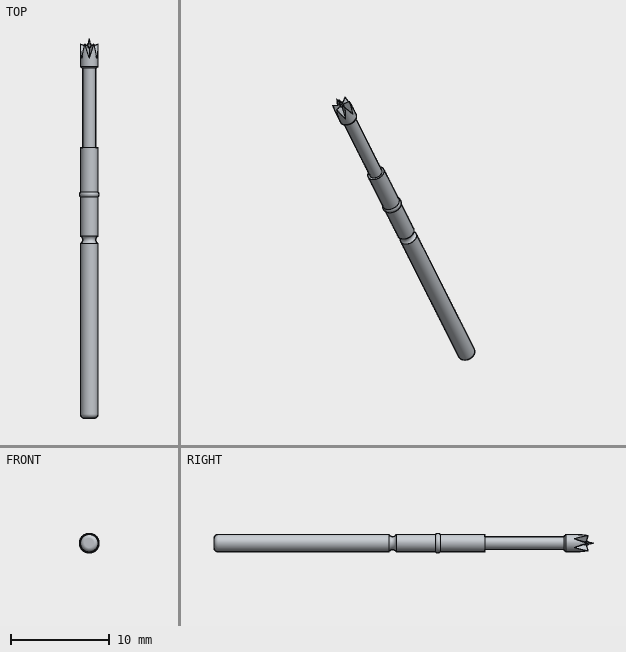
import cadquery as cq
import math


total_length = 38.4
rim_drop = 0.54
head_length = 2.26
barrel_front = 27.4
collar_front = 22.9
collar_width = 0.5
groove_rear = 17.7
groove_width = 0.74

barrel_radius = 0.89
collar_radius = 1.0
plunger_radius = 0.665
head_radius = 0.89

tail_flat_radius = 0.42
tail_round_length = 0.36
groove_depth = 0.22
head_back_chamfer = 0.17

tooth_count = 6
crown_center_drop = 0.77
notch_root_drop = 1.95
spike_base_radius = 0.12
hub_radius = 0.19

rim_tip_y = total_length - rim_drop
head_rear_y = rim_tip_y - head_length
collar_rear = collar_front - collar_width
groove_front = groove_rear + groove_width
crown_center_y = total_length - crown_center_drop


def make_barrel():
    """Barrel with rounded tail, rolled groove and press-in collar, seam on +Z."""
    groove_middle = groove_rear + groove_width / 2
    groove_floor = barrel_radius - groove_depth
    tail_run = barrel_radius - tail_flat_radius
    tail_mid = (
        tail_round_length * (1 - math.sqrt(0.5)),
        tail_flat_radius + tail_run * math.sqrt(0.5),
    )
    profile = (
        cq.Workplane("YZ")
        .moveTo(0, 0)
        .lineTo(0, tail_flat_radius)
        .threePointArc(tail_mid, (tail_round_length, barrel_radius))
        .lineTo(groove_rear, barrel_radius)
        .threePointArc((groove_middle, groove_floor), (groove_front, barrel_radius))
        .lineTo(collar_rear, barrel_radius)
        .threePointArc(
            (collar_rear + collar_width / 2, collar_radius),
            (collar_front, barrel_radius),
        )
        .lineTo(barrel_front, barrel_radius)
        .lineTo(barrel_front, 0)
        .close()
    )
    return profile.revolve(360, (0, 0, 0), (1, 0, 0))


def make_plunger():
    """Plunger rod and the plain head blank with a chamfered rear edge, seam on -X."""
    chamfer_end_y = head_rear_y - head_back_chamfer
    chamfer_end_radius = head_radius - head_back_chamfer
    return (
        cq.Workplane("XY")
        .moveTo(0, barrel_front)
        .lineTo(-plunger_radius, barrel_front)
        .lineTo(-plunger_radius, chamfer_end_y)
        .lineTo(-chamfer_end_radius, chamfer_end_y)
        .lineTo(-head_radius, head_rear_y)
        .lineTo(-head_radius, total_length)
        .lineTo(0, total_length)
        .close()
        .revolve(360, (0, 0, 0), (0, 1, 0))
    )


def make_notch():
    """V-shaped cutter running from the axis out along +Z, its root sloping toward the tail."""
    half_pitch = math.pi / tooth_count
    root_fall = (notch_root_drop - crown_center_drop) / head_radius
    tip_across = head_radius * math.sin(half_pitch)
    tip_along = head_radius * math.cos(half_pitch)
    root_below_tip = rim_tip_y - (crown_center_y - root_fall * tip_along)
    wall_slope = root_below_tip / tip_across

    cutter_reach = 2 * head_radius
    cutter_height = 2 * head_length
    cutter_half_width = cutter_height / wall_slope
    top_y = crown_center_y + cutter_height
    section = cq.Wire.makePolygon(
        [
            cq.Vector(0, crown_center_y, 0),
            cq.Vector(cutter_half_width, top_y, 0),
            cq.Vector(-cutter_half_width, top_y, 0),
        ],
        close=True,
    )
    sweep = cq.Vector(0, -root_fall * cutter_reach, cutter_reach)
    return cq.Workplane(obj=cq.Solid.extrudeLinear(section, [], sweep))


def cut_crown(plunger):
    """Six rim teeth, with tooth ridges on the X axis and notches on the Z axis."""
    notch = make_notch()
    for index in range(tooth_count):
        angle = index * 360 / tooth_count
        plunger = plunger.cut(notch.rotate((0, 0, 0), (0, 1, 0), angle))
    return plunger


def make_spike():
    """Central conical spike on a round hub that runs down into the head."""
    hub_bottom_y = total_length - notch_root_drop
    return (
        cq.Workplane("XY")
        .moveTo(0, hub_bottom_y)
        .lineTo(-hub_radius, hub_bottom_y)
        .lineTo(-hub_radius, rim_tip_y)
        .lineTo(-spike_base_radius, rim_tip_y)
        .lineTo(0, total_length)
        .close()
        .revolve(360, (0, 0, 0), (0, 1, 0))
    )


plunger = cut_crown(make_plunger()).union(make_spike())
result = make_barrel().union(plunger)